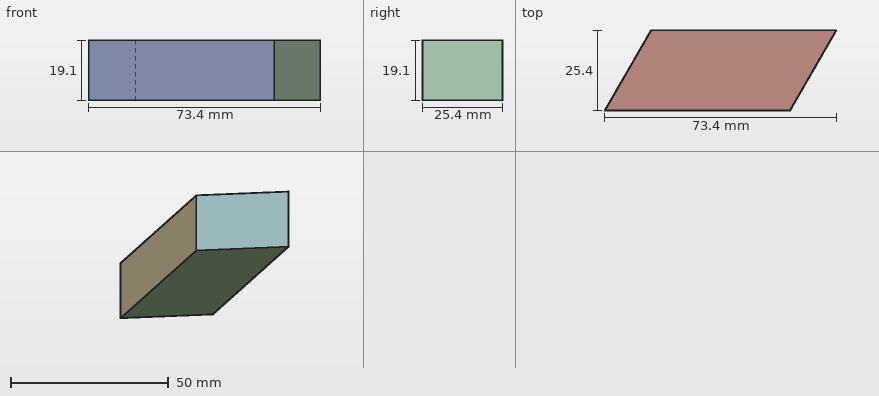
import cadquery as cq
import math

long_side = 58.7
slanted_side = 29.3
corner_angle = math.radians(60)
height = 19.1

slant_run = slanted_side * math.cos(corner_angle)
depth = slanted_side * math.sin(corner_angle)

outline = [
    (0, 0),
    (long_side, 0),
    (long_side + slant_run, depth),
    (slant_run, depth),
]

result = cq.Workplane("XY").polyline(outline).close().extrude(height)